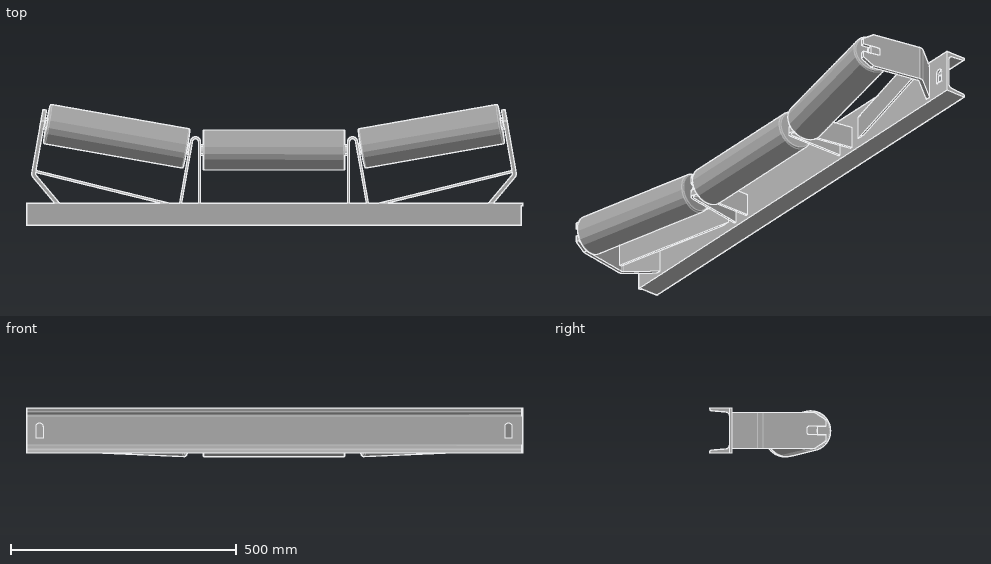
import cadquery as cq
import math


BEAM_DEPTH = 100.0
FLANGE_WIDTH = 50.0
FLANGE_LENGTH = 1097.0
WEB_OVERHANG = 3.0
WEB_THICKNESS = 6.0
FLANGE_THICKNESS = 8.5
FLANGE_TAPER = 0.08
ROOT_RADIUS = 8.5
TOE_RADIUS = 4.0
SLOT_WIDTH = 16.0
SLOT_HEIGHT = 33.0
SLOT_END_DISTANCE = 29.0

ROLLER_DIAMETER = 89.0
ROLLER_LENGTH = 315.0
ROLLER_EDGE_RADIUS = 3.0
ROLLER_AXIS_Y = 167.0
ROLLER_DROP = 9.0
SHAFT_DIAMETER = 24.0
TONGUE_WIDTH = 19.0
TONGUE_HEIGHT = 23.0
TONGUE_RADIUS = 3.8
END_GAP = 5.0
SHOULDER_CLEARANCE = 1.0

TROUGH_ANGLE = math.radians(10)
OUTER_HEIGHT = 80.0
INNER_THICKNESS = 5.0
ARCH_RADIUS = 9.0
ARCH_TOP_Y = 197.0
OUTER_THICKNESS = 9.0
OUTER_TIP_Y = 257.0
OUTER_BEND_Y = 111.0
OUTER_BEND_RADIUS = 5.0
FOOT_ANGLE = math.radians(40)
TIP_CHAMFER_LENGTH = 25.0
TIP_CHAMFER_DEPTH = 16.0

BRACE_THICKNESS = 5.0
BRACE_HEIGHT = 55.0
BRACE_TOP_Y = 122.0
BRACE_FOOT_X = -231.0

MID_Z = BEAM_DEPTH / 2
BRACKET_BOTTOM_Z = MID_Z - OUTER_HEIGHT / 2
ROLLER_AXIS_Z = ROLLER_DIAMETER / 2 - ROLLER_DROP
INNER_LEG_X = -(ROLLER_LENGTH / 2 + END_GAP + INNER_THICKNESS / 2)
ARCH_X = INNER_LEG_X - ARCH_RADIUS
ARCH_Y = ARCH_TOP_Y - ARCH_RADIUS - INNER_THICKNESS / 2
INNER_HEIGHT = 2 * (ROLLER_AXIS_Z - BRACKET_BOTTOM_Z)
AXIS_BELOW_ARCH = ARCH_Y - ROLLER_AXIS_Y

OUTWARD = cq.Vector(-math.cos(TROUGH_ANGLE), math.sin(TROUGH_ANGLE))
LEG_UP = cq.Vector(math.sin(TROUGH_ANGLE), math.cos(TROUGH_ANGLE))

INNER_SEAT = cq.Vector(ARCH_X, ARCH_Y) + OUTWARD * ARCH_RADIUS - LEG_UP * AXIS_BELOW_ARCH
SEAT_TO_MID = INNER_THICKNESS / 2 + END_GAP + ROLLER_LENGTH / 2
LEFT_MID = INNER_SEAT + OUTWARD * SEAT_TO_MID
OUTER_FACE = LEFT_MID + OUTWARD * (ROLLER_LENGTH / 2 + END_GAP + OUTER_THICKNESS)
RISE_ANGLE = math.asin((MID_Z - ROLLER_AXIS_Z) / (OUTER_FACE - INNER_SEAT).Length)
LEFT_MID_Z = ROLLER_AXIS_Z + SEAT_TO_MID * math.sin(RISE_ANGLE)


def along(point, direction, y):
    """The point at height y on the line through point along direction."""
    return point + direction * ((y - point.y) / direction.y)


def plate(points, height):
    """An upright plate on the given plan outline, centred on the beam's mid-height."""
    outline = [(p.x, p.y) for p in points]
    return cq.Workplane("XY").workplane(offset=MID_Z - height / 2).polyline(outline).close().extrude(height)


def mirrored(body):
    """The matching body on the other side of the mirror plane."""
    return body.mirror("YZ")


def place_middle(body):
    """Move a body from roller coordinates to the middle roller."""
    return body.translate((0, ROLLER_AXIS_Y, ROLLER_AXIS_Z))


def place_left(body):
    """Move a body from roller coordinates to the left roller, tilted in plan and in height."""
    body = body.rotate((0, 0, 0), (0, 1, 0), math.degrees(RISE_ANGLE))
    body = body.rotate((0, 0, 0), (0, 0, 1), -math.degrees(TROUGH_ANGLE))
    return body.translate((LEFT_MID.x, LEFT_MID.y, LEFT_MID_Z))


def make_beam():
    """The channel beam, its web running on past the flanges at the +X end."""
    web_front_y = FLANGE_WIDTH - WEB_THICKNESS
    half_taper = FLANGE_TAPER * FLANGE_WIDTH / 2
    toe = FLANGE_THICKNESS - half_taper
    root = toe + FLANGE_TAPER * web_front_y
    outline = [
        (0, 0),
        (FLANGE_WIDTH, 0),
        (FLANGE_WIDTH, BEAM_DEPTH),
        (0, BEAM_DEPTH),
        (0, BEAM_DEPTH - toe),
        (web_front_y, BEAM_DEPTH - root),
        (web_front_y, root),
        (0, toe),
    ]
    left_end = -FLANGE_LENGTH / 2
    beam = cq.Workplane("YZ").workplane(offset=left_end).polyline(outline).close().extrude(FLANGE_LENGTH)
    roots = cq.selectors.BoxSelector(
        (-FLANGE_LENGTH, web_front_y - TOE_RADIUS, toe),
        (FLANGE_LENGTH, web_front_y + TOE_RADIUS, BEAM_DEPTH - toe),
    )
    beam = beam.edges("|X").edges(roots).fillet(ROOT_RADIUS)
    toes = cq.selectors.BoxSelector(
        (-FLANGE_LENGTH, -TOE_RADIUS, toe / 2),
        (FLANGE_LENGTH, TOE_RADIUS, BEAM_DEPTH - toe / 2),
    )
    beam = beam.edges("|X").edges(toes).fillet(TOE_RADIUS)
    overhang = cq.Workplane("XY").box(WEB_OVERHANG, WEB_THICKNESS, BEAM_DEPTH, centered=False)
    beam = beam.union(overhang.translate((-left_end, web_front_y, 0)))
    slot = make_beam_slot().translate((left_end + SLOT_END_DISTANCE, 0, 0))
    return beam.cut(slot).cut(mirrored(slot))


def make_beam_slot():
    """Cutter for a mounting slot with a round top and a flat bottom, centred on the web."""
    half_width = SLOT_WIDTH / 2
    top = MID_Z + SLOT_HEIGHT / 2
    bottom = MID_Z - SLOT_HEIGHT / 2
    profile = (
        cq.Workplane("XZ")
        .moveTo(-half_width, bottom)
        .lineTo(half_width, bottom)
        .lineTo(half_width, top - half_width)
        .threePointArc((0, top), (-half_width, top - half_width))
        .close()
    )
    return profile.extrude(-FLANGE_WIDTH)


def make_roller(left_plate, right_plate):
    """A roller along X about the origin; its shaft ends are tongues as long as the plates they sit in."""
    drum_start = cq.Workplane("YZ").workplane(offset=-ROLLER_LENGTH / 2)
    drum = drum_start.circle(ROLLER_DIAMETER / 2).extrude(ROLLER_LENGTH)
    drum = drum.edges().fillet(ROLLER_EDGE_RADIUS)
    journal_end = ROLLER_LENGTH / 2 + END_GAP - SHOULDER_CLEARANCE
    journal = cq.Workplane("YZ").circle(SHAFT_DIAMETER / 2).extrude(journal_end, both=True)
    tongue_length = left_plate + ROLLER_LENGTH + 2 * END_GAP + right_plate
    tongue = cq.Workplane("XY").box(tongue_length, TONGUE_HEIGHT, TONGUE_WIDTH)
    tongue = tongue.edges("|X and <Y").fillet(TONGUE_RADIUS)
    return drum.union(journal).union(tongue.translate(((right_plate - left_plate) / 2, 0, 0)))


def make_seat(start, end):
    """Cutter along X for an open seat that fits a tongue and runs out past the plate edge."""
    depth = TONGUE_HEIGHT / 2
    opening = OUTER_TIP_Y - ROLLER_AXIS_Y
    seat = cq.Workplane("XY").box(end - start, depth + opening, TONGUE_WIDTH)
    seat = seat.edges("|X and <Y").fillet(TONGUE_RADIUS)
    return seat.translate(((start + end) / 2, (opening - depth) / 2, 0))


def make_inner_bracket():
    """The left inner bracket: an upright and a slanted leg joined by an arch, each with an open seat."""
    arch = cq.Vector(ARCH_X, ARCH_Y)
    outer = ARCH_RADIUS + INNER_THICKNESS / 2
    inner = ARCH_RADIUS - INNER_THICKNESS / 2
    crown = cq.Vector(math.sin(TROUGH_ANGLE / 2), math.cos(TROUGH_ANGLE / 2))
    right = cq.Vector(1, 0)

    def plan(vector):
        return (vector.x, vector.y)

    strip = (
        cq.Workplane("XY")
        .workplane(offset=BRACKET_BOTTOM_Z)
        .moveTo(ARCH_X + outer, FLANGE_WIDTH)
        .lineTo(*plan(arch + right * outer))
        .threePointArc(plan(arch + crown * outer), plan(arch + OUTWARD * outer))
        .lineTo(*plan(along(arch + OUTWARD * outer, LEG_UP, FLANGE_WIDTH)))
        .lineTo(*plan(along(arch + OUTWARD * inner, LEG_UP, FLANGE_WIDTH)))
        .lineTo(*plan(arch + OUTWARD * inner))
        .threePointArc(plan(arch + crown * inner), plan(arch + right * inner))
        .lineTo(ARCH_X + inner, FLANGE_WIDTH)
        .close()
        .extrude(INNER_HEIGHT)
    )
    arch_to_mid = SEAT_TO_MID + ARCH_RADIUS
    strip = strip.cut(place_middle(make_seat(-arch_to_mid, -ROLLER_LENGTH / 2)))
    return strip.cut(place_left(make_seat(ROLLER_LENGTH / 2, arch_to_mid)))


def make_outer_bracket():
    """The left outer bracket: a slanted leg with a chamfered tip and an open seat, bent to a slanted foot."""
    foot_down = cq.Vector(math.sin(FOOT_ANGLE), -math.cos(FOOT_ANGLE))
    half_bend = (TROUGH_ANGLE + FOOT_ANGLE) / 2
    bisector_angle = (FOOT_ANGLE - TROUGH_ANGLE) / 2
    bisector = cq.Vector(math.cos(bisector_angle), math.sin(bisector_angle))
    tip = along(OUTER_FACE, LEG_UP, OUTER_TIP_Y)
    outer_corner = along(OUTER_FACE, LEG_UP, OUTER_BEND_Y)
    inner_corner = outer_corner + bisector * (OUTER_THICKNESS / math.cos(half_bend))
    outline = [
        tip,
        outer_corner,
        along(outer_corner, foot_down, FLANGE_WIDTH),
        along(inner_corner, foot_down, FLANGE_WIDTH),
        inner_corner,
        tip - OUTWARD * OUTER_THICKNESS,
    ]
    strip = plate(outline, OUTER_HEIGHT)
    for corner, radius in [
        (outer_corner, OUTER_BEND_RADIUS + OUTER_THICKNESS),
        (inner_corner, OUTER_BEND_RADIUS),
    ]:
        strip = strip.edges(cq.selectors.NearestToPointSelector((corner.x, corner.y, MID_Z))).fillet(radius)
    strip = strip.cut(make_tip_trim(tip))
    seat = make_seat(-ROLLER_LENGTH / 2 - END_GAP - 2 * OUTER_THICKNESS, -ROLLER_LENGTH / 2)
    return strip.cut(place_left(seat))


def make_tip_trim(tip):
    """Cutter for the two chamfers at the tip of the outer bracket."""
    top = BRACKET_BOTTOM_Z + OUTER_HEIGHT
    low_y = OUTER_TIP_Y - TIP_CHAMFER_LENGTH
    trim = cq.Workplane("YZ").workplane(offset=tip.x - OUTER_THICKNESS)
    for edge, inset in [(top, -TIP_CHAMFER_DEPTH), (BRACKET_BOTTOM_Z, TIP_CHAMFER_DEPTH)]:
        trim = trim.polyline([(low_y, edge), (OUTER_TIP_Y, edge), (OUTER_TIP_Y, edge + inset)]).close()
    return trim.extrude(3 * OUTER_THICKNESS)


def make_brace():
    """The left brace: a flat strip from the inside of the outer bracket down to the beam."""
    bracket_inside = OUTER_FACE - OUTWARD * OUTER_THICKNESS
    upper_start = along(bracket_inside, LEG_UP, BRACE_TOP_Y)
    upper_end = cq.Vector(BRACE_FOOT_X, FLANGE_WIDTH)
    run = (upper_end - upper_start).normalized()
    drop = BRACE_THICKNESS / (run.x * LEG_UP.y - run.y * LEG_UP.x)
    lower_start = upper_start - LEG_UP * drop
    outline = [upper_start, upper_end, along(lower_start, run, FLANGE_WIDTH), lower_start]
    return plate(outline, BRACE_HEIGHT)


beam = make_beam()
middle_roller = place_middle(make_roller(INNER_THICKNESS, INNER_THICKNESS))
left_roller = place_left(make_roller(OUTER_THICKNESS, INNER_THICKNESS))

bodies = [beam.val(), middle_roller.val()]
for left_body in [left_roller, make_inner_bracket(), make_outer_bracket(), make_brace()]:
    bodies += [left_body.val(), mirrored(left_body).val()]

result = cq.Compound.makeCompound(bodies)